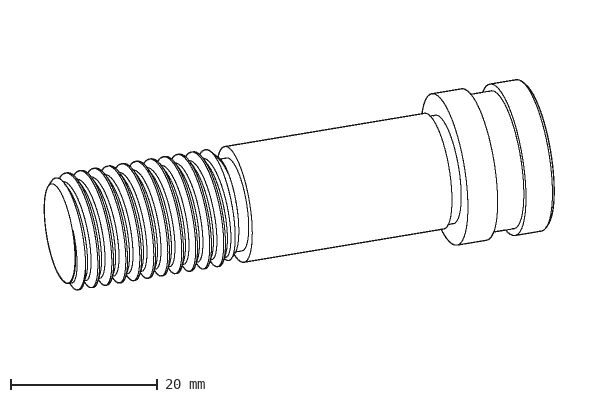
import cadquery as cq
import math

total_length = 67.5

head_diameter = 20.9
head_groove_diameter = 19.05
neck_diameter = 15.0
shank_diameter = 16.0
relief_diameter = 12.8

outer_flange_length = 4.2
head_groove_length = 4.05
inner_flange_length = 4.25
neck_length = 1.5
shank_length = 28.55
relief_length = 1.55
head_chamfer = 0.4

thread_length = total_length - (
    outer_flange_length
    + head_groove_length
    + inner_flange_length
    + neck_length
    + shank_length
    + relief_length
)

thread_radius = shank_diameter / 2
thread_pitch = shank_diameter / 8
flank_half_angle = math.radians(30)
crest_flat = thread_pitch / 8
root_flat = thread_pitch / 4
thread_depth = (thread_pitch - crest_flat - root_flat) / 2 / math.tan(flank_half_angle)
root_radius = thread_radius - thread_depth
thread_chamfer = 1.15
ridge_embed = 0.1
envelope_margin = 0.35


def thread_ridge():
    """Right-hand helical ridge along Z, rooted in the core and running past both ends."""
    start = -1.5 * thread_pitch
    turns = math.ceil(thread_length / thread_pitch) + 3
    base_radius = root_radius - ridge_embed
    helix = cq.Wire.makeHelix(
        thread_pitch, turns * thread_pitch, base_radius, center=cq.Vector(0, 0, start)
    )
    crest_half_width = crest_flat / 2
    base_half_width = crest_half_width + (thread_radius - base_radius) * math.tan(flank_half_angle)
    profile = cq.Workplane("XZ").polyline([
        (base_radius, start - base_half_width),
        (thread_radius, start - crest_half_width),
        (thread_radius, start + crest_half_width),
        (base_radius, start + base_half_width),
    ]).close()
    return profile.sweep(cq.Workplane(obj=helix), isFrenet=True)


def threaded_end():
    """Core and thread ridge, trimmed to length with both ends chamfered."""
    envelope = cq.Workplane("XY").circle(thread_radius + envelope_margin).extrude(thread_length)
    envelope = envelope.faces("<Z or >Z").chamfer(thread_chamfer + envelope_margin)
    core = cq.Workplane("XY").circle(root_radius).extrude(thread_length).intersect(envelope)
    return core.union(thread_ridge().intersect(envelope))


def plain_body():
    """Stacked cylinders from the relief groove up to the chamfered head."""
    sections = [
        (relief_diameter, relief_length),
        (shank_diameter, shank_length),
        (neck_diameter, neck_length),
        (head_diameter, inner_flange_length),
        (head_groove_diameter, head_groove_length),
        (head_diameter, outer_flange_length),
    ]
    body = None
    base = thread_length
    for diameter, length in sections:
        cylinder = cq.Workplane("XY", origin=(0, 0, base)).circle(diameter / 2).extrude(length)
        body = cylinder if body is None else body.union(cylinder)
        base += length
    return body.faces(">Z").chamfer(head_chamfer)


stud = plain_body().union(threaded_end())

result = stud.rotate((0, 0, 0), (1, 0, 0), -90)